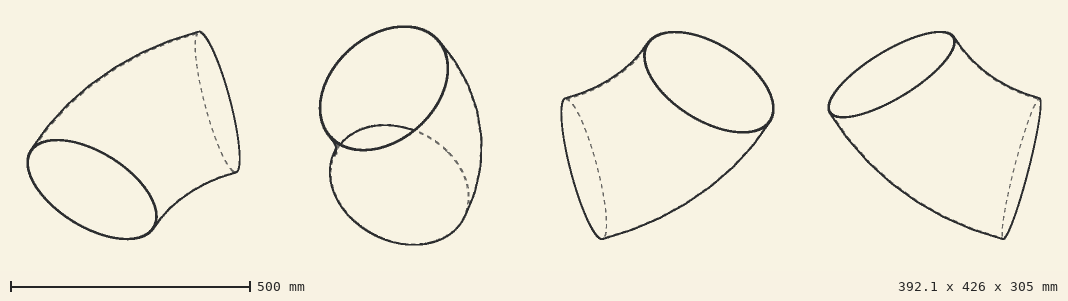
import cadquery as cq
import math

outer_diameter = 305.0
wall_thickness = 2.5
bend_angle = 45.0
overall_length = 426.0

outer_radius = outer_diameter / 2
outer_bend_radius = overall_length / math.sin(math.radians(bend_angle))
bend_radius = outer_bend_radius - outer_radius


def pipe_elbow():
    """Thin-walled ring on the XZ plane, revolved about a Z axis at the bend centre on +X."""
    return (
        cq.Workplane("XZ")
        .circle(outer_radius)
        .circle(outer_radius - wall_thickness)
        .revolve(bend_angle, (bend_radius, 4.3, 0), (bend_radius, 0, 0))
    )


result = pipe_elbow()